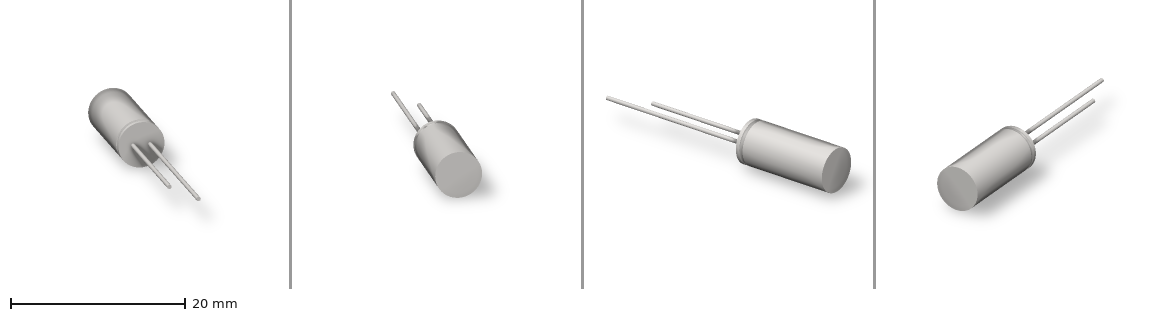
import cadquery as cq

overall_length = 32.5
can_length = 12.5
can_diameter = 5.5
groove_width = 0.5
rim_width = 0.5
lead_diameter = 0.52
lead_pitch = 2.0
short_lead_length = 15.02

can_radius = can_diameter / 2
groove_radius = groove_width / 2
can_start_x = -overall_length / 2
can_end_x = can_start_x + can_length
long_lead_length = overall_length - can_length


def make_can():
    """Solid round can with a half-round crimp groove just short of the lead end."""
    groove_end_x = can_end_x - rim_width
    groove_start_x = groove_end_x - groove_width
    groove_middle_x = groove_end_x - groove_radius
    half_profile = (
        cq.Workplane("XY")
        .moveTo(can_start_x, 0)
        .lineTo(can_start_x, can_radius)
        .lineTo(groove_start_x, can_radius)
        .threePointArc((groove_middle_x, can_radius - groove_radius), (groove_end_x, can_radius))
        .lineTo(can_end_x, can_radius)
        .lineTo(can_end_x, 0)
        .close()
    )
    return half_profile.revolve(360, (0, 0, 0), (1, 0, 0))


def make_lead(y, length):
    """Straight round wire that starts on the flat end of the can."""
    return cq.Workplane("YZ", origin=(can_end_x, y, 0)).circle(lead_diameter / 2).extrude(length)


can = make_can()

leads = []
for side, length in ((1, long_lead_length), (-1, short_lead_length)):
    lead = make_lead(side * lead_pitch / 2, length)
    leads.append(lead.val())

result = cq.Compound.makeCompound([can.val(), *leads])